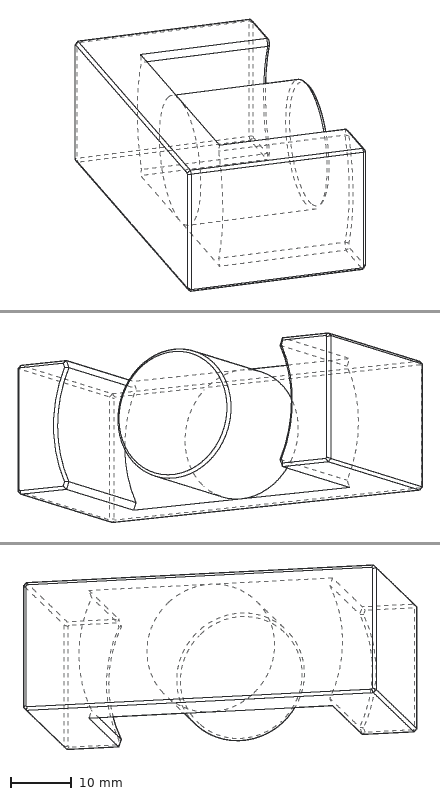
import cadquery as cq
import math

width = 59.8
depth = 31.0
height = 21.65
back_thickness = 8.5
post_diameter = height
window_diameter = 44.7
edge_chamfer = 0.5

bevel_height = 1.25
bevel_setback = 0.45

window_depth = depth - back_thickness


def window_sketch():
    """XZ workplane on the front of the back plate."""
    return cq.Workplane("XZ", origin=(0, back_thickness, 0))


def make_window():
    """Space between the legs: a cylinder flanked above and below by the bevels."""
    window_radius = window_diameter / 2
    bevel_start_z = height / 2 - bevel_height
    bevel_start_x = math.sqrt(window_radius**2 - bevel_start_z**2)
    bevel_end_x = bevel_start_x + bevel_setback

    return (
        window_sketch()
        .moveTo(-bevel_end_x, height / 2)
        .lineTo(bevel_end_x, height / 2)
        .lineTo(bevel_start_x, bevel_start_z)
        .threePointArc((window_radius, 0), (bevel_start_x, -bevel_start_z))
        .lineTo(bevel_end_x, -height / 2)
        .lineTo(-bevel_end_x, -height / 2)
        .lineTo(-bevel_start_x, -bevel_start_z)
        .threePointArc((-window_radius, 0), (-bevel_start_x, bevel_start_z))
        .close()
        .extrude(-window_depth)
    )


def make_back_and_legs():
    block = cq.Workplane("XY").box(width, depth, height).translate((0, depth / 2, 0))
    block = block.edges("|Y").chamfer(edge_chamfer)
    return block.cut(make_window()).faces("<Y or >Y").chamfer(edge_chamfer)


def make_post():
    post = window_sketch().circle(post_diameter / 2).extrude(-window_depth)
    return post.faces(">Y").chamfer(edge_chamfer)


result = make_back_and_legs().union(make_post())